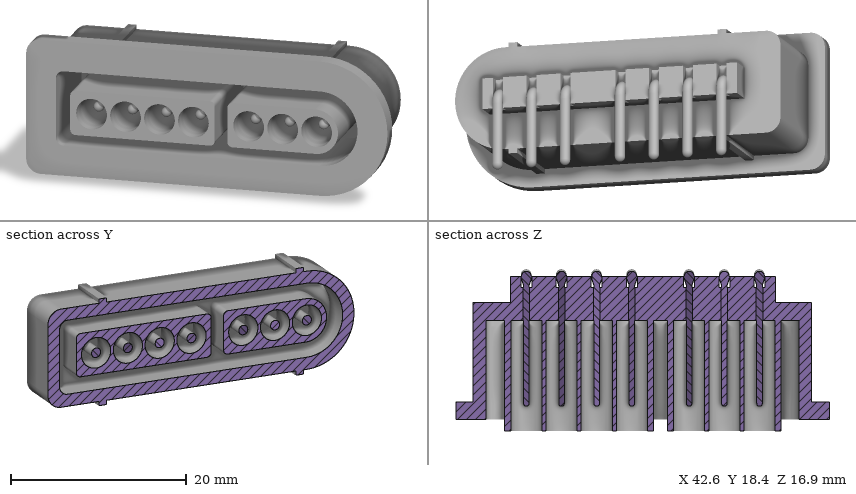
import cadquery as cq
import math


pin_diameter = 1.2
pin_radius = pin_diameter / 2
pin_pitch = 4.0
first_pin_x = 8.05
group_gap = 6.5
left_pins = [first_pin_x + i * pin_pitch for i in range(4)]
right_pins = [left_pins[-1] + group_gap + i * pin_pitch for i in range(3)]
pin_positions = left_pins + right_pins

flange_length = 42.6
flange_height = 15.98
flange_thickness = 2.1
flange_corner = 1.7

shell_margin = 2.05
shell_left = 1.95
shell_depth = 11.3
shell_corner = 1.7
shell_right = flange_length - shell_margin
shell_height = flange_height - 2 * shell_margin
shell_back = flange_thickness + shell_depth

rib_width = 1.02
rib_height = 0.5
rib_starts = [8.4, 33.2]

cavity_left = 3.5
cavity_right = 39.05
cavity_height = 8.85
cavity_corner = 0.95
floor_thickness = 2.1
cavity_floor = shell_back - floor_thickness

tower_margin = 2.5
tower_height = 5.3
tower_corner = 0.6
tower_protrusion = 1.28
tower_front = -tower_protrusion
socket_diameter = 3.6

block_margin = 1.85
block_height = 3.58
block_depth = 3.0
block_left = pin_positions[0] - block_margin
block_length = pin_positions[-1] + block_margin - block_left
block_back = shell_back + block_depth
slot_depth = 1.25

overall_height = 16.95
pin_overhang = 0.75
pin_recess = 2.55
pin_bend_radius = 1.28
pin_bottom = flange_height / 2 - overall_height
pin_front = tower_front + pin_recess
leg_y = block_back + pin_overhang - pin_radius


def plane_at(y):
    """XZ sketch plane at the given Y; negative extrusions go towards +Y."""
    return cq.Workplane("XZ", origin=(0, y, 0))


def round_ended_prism(left, right, height, corner, y_start, y_end):
    """Prism along Y with rounded left corners and a semicircular right end."""
    half = height / 2
    return (
        plane_at(y_start)
        .moveTo(left, -half)
        .lineTo(right - half, -half)
        .threePointArc((right, 0), (right - half, half))
        .lineTo(left, half)
        .close()
        .extrude(y_start - y_end)
        .faces("<X")
        .edges("|Y")
        .fillet(corner)
    )


def box_between(left, length, y_start, y_end, z_bottom, height):
    """Box given by its X start and length, Y range, and Z start and height."""
    corner = (left, y_start, z_bottom)
    return cq.Workplane("XY").box(length, y_end - y_start, height, centered=False).translate(corner)


def holes_along_y(diameter, y_start, y_end):
    """One cylinder on each pin axis."""
    centres = [(x, 0) for x in pin_positions]
    return plane_at(y_start).pushPoints(centres).circle(diameter / 2).extrude(y_start - y_end)


def make_shell():
    """Flange and shell with ribs, hollowed from the front."""
    flange = round_ended_prism(0, flange_length, flange_height, flange_corner, 0, flange_thickness)
    shell = round_ended_prism(
        shell_left, shell_right, shell_height, shell_corner, flange_thickness, shell_back
    )
    body = flange.union(shell)
    ribbed_height = shell_height + 2 * rib_height
    for x in rib_starts:
        body = body.union(
            box_between(x, rib_width, flange_thickness, shell_back, -ribbed_height / 2, ribbed_height)
        )
    cavity = round_ended_prism(
        cavity_left, cavity_right, cavity_height, cavity_corner, 0, cavity_floor
    )
    return body.cut(cavity)


def make_towers():
    """Rectangular tower for the four pins and round-ended tower for the three."""
    left_start = left_pins[0] - tower_margin
    left_length = left_pins[-1] + tower_margin - left_start
    left_tower = box_between(
        left_start, left_length, tower_front, cavity_floor, -tower_height / 2, tower_height
    )
    left_tower = left_tower.edges("|Y").fillet(tower_corner)
    right_tower = round_ended_prism(
        right_pins[0] - tower_margin,
        right_pins[-1] + tower_margin,
        tower_height,
        tower_corner,
        tower_front,
        cavity_floor,
    )
    return left_tower, right_tower


def make_block():
    """Rear block with an open slot for each pin."""
    block = box_between(
        block_left, block_length, shell_back, block_back, -block_height / 2, block_height
    )
    for x in pin_positions:
        slot = box_between(
            x - pin_radius,
            pin_diameter,
            block_back - slot_depth,
            block_back,
            -block_height / 2,
            block_height,
        )
        block = block.cut(slot)
    return block


def make_housing():
    """Shell, towers and rear block as one body, bored for the pins."""
    body = make_shell().union(make_block())
    for tower in make_towers():
        body = body.union(tower)
    sockets = holes_along_y(socket_diameter, tower_front, cavity_floor)
    pin_bores = holes_along_y(pin_diameter, cavity_floor, block_back)
    return body.cut(sockets).cut(pin_bores)


def make_pin(x):
    """Round pin bent down at the back, with hemispherical ends."""
    tip_y = pin_front + pin_radius
    tip_z = pin_bottom + pin_radius
    bend_start_y = leg_y - pin_bend_radius
    bend_middle = pin_bend_radius * math.sqrt(0.5)
    path = (
        cq.Workplane("YZ", origin=(x, 0, 0))
        .moveTo(tip_y, 0)
        .lineTo(bend_start_y, 0)
        .threePointArc(
            (bend_start_y + bend_middle, bend_middle - pin_bend_radius), (leg_y, -pin_bend_radius)
        )
        .lineTo(leg_y, tip_z)
    )
    rod = cq.Workplane("XZ", origin=(x, tip_y, 0)).circle(pin_radius).sweep(path)
    front_tip = cq.Workplane("XY").sphere(pin_radius, direct=(0, 1, 0)).translate((x, tip_y, 0))
    lower_tip = cq.Workplane("XY").sphere(pin_radius).translate((x, leg_y, tip_z))
    return rod.union(front_tip).union(lower_tip)


housing = make_housing().solids()
pins = [make_pin(x).solids().val() for x in pin_positions]

result = cq.Compound.makeCompound([housing.val(), *pins])